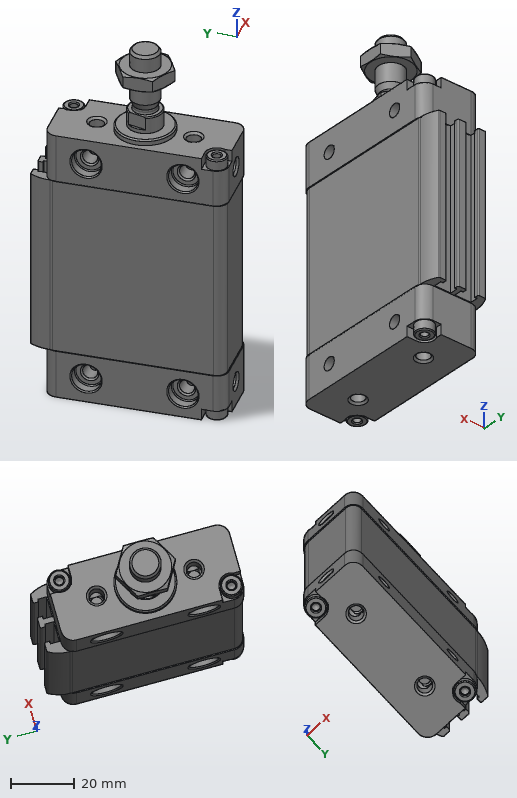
import cadquery as cq
import math


total_height = 127.0
width = 24.0
depth = 60.0
cover_height = 17.0
block_top = 97.0
corner_radius = 4.1

tube_inset = 0.4
tube_corner_radius = 3.5
tube_bottom = cover_height
tube_top = block_top - cover_height
tube_height = tube_top - tube_bottom

rail_end = 35.0
lip_height = 1.8
rail_rounding = 0.5
slot_floor_y = 30.4
side_face_end = 27.2
side_rail_neck = 7.5
side_rail_lip = 6.6
side_rail_tip = 9.7
side_rail_foot = 11.5
side_rail_foot_y = 28.1
centre_rail_neck = 0.9
centre_rail_lip = 1.8

hole_y = 16.0
hole_height = 8.6
hole_diameter = 5.0
hole_mouth_diameter = 6.5
end_hole_floor_diameter = 4.0
counterbore_diameter = 9.8
counterbore_mouth_diameter = 10.7
counterbore_floor_diameter = 9.0
counterbore_depth = 4.0
cross_hole_mouth_diameter = 6.1

bolt_inset = 4.0
bolt_x = width / 2 - bolt_inset
bolt_y = depth / 2 - bolt_inset
bolt_head_diameter = 7.0
bolt_head_chamfer = 0.4
bolt_head_gap = 0.3
bolt_socket_diameter = 2.8
bolt_socket_mouth_diameter = 3.5
bolt_socket_depth = 2.0
bolt_socket_tip = 0.9
pocket_depth = 4.0
pocket_radius = 4.0
pocket_side_reach = 3.5

collar_diameter = 20.0
collar_height = 2.0
collar_chamfer = 0.5

rod_diameter = 12.0
rod_bottom = tube_top
shoulder_z = 105.0
shoulder_chamfer = 0.4
thread_diameter = 10.0
thread_bottom = 109.0
thread_chamfer = 0.8
thread_chamfer_height = 1.0
relief_diameter = 8.3
relief_bottom = 105.8
relief_top = 106.7
relief_foot_diameter = 8.6
flat_distance = 10.0
flat_bottom = 100.5
flat_angle = -15.0

nut_bottom = 116.1
nut_height = 5.0
nut_flats = 17.0
nut_corners = nut_flats / math.cos(math.radians(30))
nut_face_diameter = 16.6
nut_chamfer_angle = 20.0


def opening(diameter, mouth_diameter, length, floor_diameter=None):
    """Solid of a countersunk hole along +Z from its mouth at the origin, with an optional bevelled floor."""
    radius = diameter / 2
    mouth_radius = mouth_diameter / 2
    floor_radius = (floor_diameter or diameter) / 2
    outline = [
        (0, 0),
        (mouth_radius, 0),
        (radius, mouth_radius - radius),
        (radius, length - (radius - floor_radius)),
    ]
    if floor_radius < radius:
        outline.append((floor_radius, length))
    outline.append((0, length))
    return cq.Workplane("XZ").polyline(outline).close().revolve(360, (0, 0, 0), (0, 1, 0))


def tie_bolt_pocket():
    """Pocket around the bolt axis, open to the -X and -Y sides of the cover."""
    reach = 2 * bolt_inset
    notch = (
        cq.Workplane("XY")
        .moveTo(-reach, -reach)
        .rect(reach + pocket_side_reach, reach, centered=False)
        .extrude(pocket_depth)
    )
    side_opening = (
        cq.Workplane("XY")
        .moveTo(-reach, 0)
        .rect(reach, pocket_radius, centered=False)
        .extrude(pocket_depth)
    )
    round_wall = cq.Workplane("XY").circle(pocket_radius).extrude(pocket_depth)
    return round_wall.union(notch).union(side_opening)


def tie_bolt_head():
    """Socket head that stands on the pocket floor, which is at Z = pocket_depth."""
    head = (
        cq.Workplane("XY")
        .workplane(offset=bolt_head_gap)
        .circle(bolt_head_diameter / 2)
        .extrude(pocket_depth - bolt_head_gap)
        .faces("<Z").chamfer(bolt_head_chamfer)
    )
    socket_radius = bolt_socket_diameter / 2
    mouth_radius = bolt_socket_mouth_diameter / 2
    socket = (
        cq.Workplane("XZ")
        .polyline([
            (0, 0),
            (mouth_radius, 0),
            (socket_radius, mouth_radius - socket_radius),
            (socket_radius, bolt_socket_depth),
            (0, bolt_socket_depth + bolt_socket_tip),
        ])
        .close()
        .revolve(360, (0, 0, 0), (0, 1, 0))
        .translate((0, 0, bolt_head_gap))
    )
    return head.cut(socket)


def make_rear_cover():
    """Cover with its outer end face on Z = 0, holding the tie bolt heads."""
    cover = (
        cq.Workplane("XY")
        .rect(width, depth)
        .extrude(cover_height)
        .edges("|Z")
        .fillet(corner_radius)
    )
    narrow_hole = opening(hole_diameter, cross_hole_mouth_diameter, width)
    counterbore = opening(
        counterbore_diameter,
        counterbore_mouth_diameter,
        counterbore_depth,
        counterbore_floor_diameter,
    )
    cross_hole = counterbore.union(narrow_hole.translate((0, 0, counterbore_depth)))
    cross_hole = cross_hole.rotate((0, 0, 0), (0, 1, 0), 90)
    end_hole = opening(
        hole_diameter,
        hole_mouth_diameter,
        hole_height + hole_diameter / 2,
        end_hole_floor_diameter,
    )
    for y in (-hole_y, hole_y):
        cover = cover.cut(cross_hole.translate((-width / 2, y, hole_height)))
        cover = cover.cut(end_hole.translate((0, y, 0)))

    port = opening(hole_diameter, hole_mouth_diameter, depth / 2 - hole_y)
    port = port.rotate((0, 0, 0), (1, 0, 0), -90)
    cover = cover.cut(port.translate((0, -depth / 2, hole_height)))

    pocket = tie_bolt_pocket()
    for turn in (0, 180):
        corner = (-bolt_x, -bolt_y, 0)
        cover = cover.cut(pocket.translate(corner).rotate((0, 0, 0), (0, 0, 1), turn))
        cover = cover.union(tie_bolt_head().translate(corner).rotate((0, 0, 0), (0, 0, 1), turn))
    return cover


def make_front_cover():
    """Mirror image of the rear cover, with a collar and a bore for the rod."""
    cover = make_rear_cover().mirror("XY").translate((0, 0, block_top))
    collar = (
        cq.Workplane("XY")
        .workplane(offset=block_top)
        .circle(collar_diameter / 2)
        .extrude(collar_height)
        .faces(">Z").chamfer(collar_chamfer)
    )
    bore = (
        cq.Workplane("XY")
        .workplane(offset=tube_top)
        .circle(rod_diameter / 2)
        .extrude(cover_height + collar_height)
    )
    return cover.union(collar).cut(bore)


def side_rail():
    """Hooked rail on the -X side; its outer face is an arc that leaves the foot along Y."""
    arc_run = side_rail_foot - side_rail_tip
    arc_rise = rail_end - side_rail_foot_y
    arc_radius = (arc_run ** 2 + arc_rise ** 2) / (2 * arc_run)
    half_angle = math.asin(arc_rise / arc_radius) / 2
    arc_middle = (
        -side_rail_foot + arc_radius * (1 - math.cos(half_angle)),
        side_rail_foot_y + arc_radius * math.sin(half_angle),
    )
    return (
        cq.Workplane("XY")
        .workplane(offset=tube_bottom)
        .moveTo(-side_rail_neck, side_face_end)
        .lineTo(-side_rail_neck, rail_end - lip_height)
        .lineTo(-side_rail_lip, rail_end - lip_height)
        .lineTo(-side_rail_lip, rail_end)
        .lineTo(-side_rail_tip, rail_end)
        .threePointArc(arc_middle, (-side_rail_foot, side_rail_foot_y))
        .lineTo(-width / 2 + tube_inset, side_face_end)
        .close()
        .extrude(tube_height)
        .faces(">Y").edges("|Z")
        .fillet(rail_rounding)
    )


def centre_rail():
    """T-shaped rail."""
    neck = (
        cq.Workplane("XY")
        .workplane(offset=tube_bottom)
        .moveTo(-centre_rail_neck, slot_floor_y)
        .rect(2 * centre_rail_neck, rail_end - lip_height - slot_floor_y, centered=False)
        .extrude(tube_height)
    )
    lip = (
        cq.Workplane("XY")
        .workplane(offset=tube_bottom)
        .moveTo(-centre_rail_lip, rail_end - lip_height)
        .rect(2 * centre_rail_lip, lip_height, centered=False)
        .extrude(tube_height)
        .faces(">Y").edges("|Z")
        .fillet(rail_rounding)
    )
    return neck.union(lip)


def make_tube():
    half_width = width / 2 - tube_inset
    end_y = -depth / 2 + tube_inset
    tube = (
        cq.Workplane("XY")
        .workplane(offset=tube_bottom)
        .moveTo(-half_width, end_y)
        .rect(2 * half_width, side_face_end - end_y, centered=False)
        .extrude(tube_height)
        .edges("|Z and <Y")
        .fillet(tube_corner_radius)
    )
    slot_floor = (
        cq.Workplane("XY")
        .workplane(offset=tube_bottom)
        .moveTo(-side_rail_neck, side_face_end)
        .rect(2 * side_rail_neck, slot_floor_y - side_face_end, centered=False)
        .extrude(tube_height)
    )
    for addition in (slot_floor, side_rail(), side_rail().mirror("YZ"), centre_rail()):
        tube = tube.union(addition)
    return tube


def make_rod():
    rod_radius = rod_diameter / 2
    thread_radius = thread_diameter / 2
    relief_radius = relief_diameter / 2
    rod = (
        cq.Workplane("XZ")
        .polyline([
            (0, rod_bottom),
            (rod_radius, rod_bottom),
            (rod_radius, shoulder_z - shoulder_chamfer),
            (rod_radius - shoulder_chamfer, shoulder_z),
            (relief_foot_diameter / 2, shoulder_z),
            (relief_radius, relief_bottom),
            (relief_radius, relief_top),
            (thread_radius, thread_bottom),
            (thread_radius, total_height - thread_chamfer_height),
            (thread_radius - thread_chamfer, total_height),
            (0, total_height),
        ])
        .close()
        .revolve(360, (0, 0, 0), (0, 1, 0))
    )
    flat_cut = cq.Workplane("XY").box(
        rod_diameter, rod_diameter, shoulder_z - flat_bottom, centered=(False, True, False)
    ).translate((flat_distance / 2, 0, flat_bottom))
    for turn in (0, 180):
        rod = rod.cut(flat_cut.rotate((0, 0, 0), (0, 0, 1), flat_angle + turn))
    return rod


def make_nut():
    hexagon = (
        cq.Workplane("XY")
        .polygon(6, nut_corners)
        .extrude(nut_height)
        .rotate((0, 0, 0), (0, 0, 1), 30)
    )
    face_radius = nut_face_diameter / 2
    corner_reach = nut_corners / 2
    drop = (corner_reach - face_radius) * math.tan(math.radians(nut_chamfer_angle))
    envelope = (
        cq.Workplane("XZ")
        .polyline([
            (0, 0),
            (face_radius, 0),
            (corner_reach, drop),
            (corner_reach, nut_height - drop),
            (face_radius, nut_height),
            (0, nut_height),
        ])
        .close()
        .revolve(360, (0, 0, 0), (0, 1, 0))
    )
    hole = cq.Workplane("XY").circle(thread_diameter / 2).extrude(nut_height)
    return hexagon.intersect(envelope).cut(hole).translate((0, 0, nut_bottom))


rear_cover = make_rear_cover()
front_cover = make_front_cover()
tube = make_tube()
rod = make_rod()
nut = make_nut()

result = cq.Compound.makeCompound([
    rear_cover.val(),
    front_cover.val(),
    tube.val(),
    rod.val(),
    nut.val(),
])